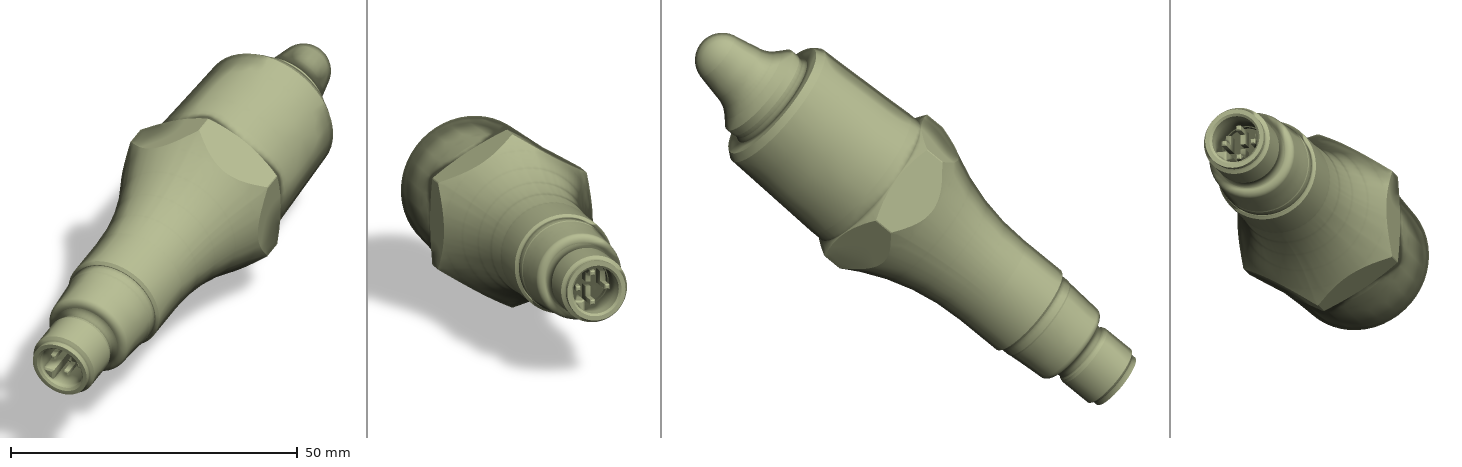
import cadquery as cq
import math

LENGTH = 96.45

NOSE_R = 10.6 / 2
THREAD_R = 12.0 / 2
RELIEF_R = 11.0 / 2
NOSE_END = 1.0
THREAD_START = 1.5
THREAD_END = 7.3
THREAD_BEVEL_END = 7.9
THREAD_BEVEL_R = 5.8
RELIEF_START = 8.2
RELIEF_END = 9.1

COUPLING_START = 9.9
COUPLING_FLARE_R = 6.2
COUPLING_CORNER = 1.2
COUPLING_SMALL_R = 7.7
COUPLING_R = 16.6 / 2
COUPLING_TAPER_END = 17.8
COUPLING_TAPER_R = 8.2
COUPLING_STEP_END = 18.1

HANDLE_R = 17.8 / 2
HANDLE_START = 19.9
HANDLE_BEVEL = 0.5
FLARE_START = 28.9
FLARE_RADIUS = 44.7

HEX_FLATS = 27.0
HEX_TURNED_R = 15.5
HEX_BEVEL_START = 55.9
HEX_END = 57.4

BODY_R = 26.7 / 2
BODY_TAPER_START = 59.6
BODY_SMALL_R = 12.5
BODY_BEVEL_START = 78.8
BODY_END = 80.1
BODY_END_R = 11.6

COLLAR_R = HANDLE_R
COLLAR_RIM_R = 9.2
COLLAR_RIM_END = 80.8
COLLAR_GROOVE_R = 8.8
COLLAR_GROOVE_END = 81.7
COLLAR_END = 83.1

TIP_BEVEL_END = 84.6
TIP_BEVEL_R = 7.4
TIP_FLARE_END = 88.25
TIP_BASE_R = 5.6
TIP_CONE_END = 92.9
TIP_CONE_R = 4.6

SOCKET_R = 4.1
SOCKET_FLOOR_R = 4.0
SOCKET_STEP = 6.75
SOCKET_BEVEL = 0.4
SOCKET_DEPTH = 7.7
PIN_RADIUS = 2.6
PIN_WIDTH = 0.9
PIN_TIP = 2.3
PIN_CHAMFER = 0.2
BLADE_LENGTH = 2.6
BLADE_TIP = 5.3
KEY_INNER = 1.8
KEY_START = 1.1
KEY_CHAMFER = 0.3


def turned_profile():
    """Half profile drawn as (radius, y), closed along the axis."""
    dome_height = LENGTH - TIP_CONE_END
    dome_radius = (TIP_CONE_R**2 + dome_height**2) / (2 * dome_height)
    dome_half_angle = math.asin(TIP_CONE_R / dome_radius) / 2
    dome_mid = (
        dome_radius * math.sin(dome_half_angle),
        LENGTH - dome_radius * (1 - math.cos(dome_half_angle)),
    )
    flare_rise = HEX_TURNED_R - HANDLE_R
    flare_length = math.sqrt(FLARE_RADIUS**2 - (FLARE_RADIUS - flare_rise) ** 2)
    corner_inset = COUPLING_CORNER * (1 - math.sqrt(0.5))
    corner_mid = (COUPLING_SMALL_R - corner_inset, COUPLING_START + corner_inset)
    return (
        cq.Workplane("XY")
        .moveTo(0, 0)
        .lineTo(NOSE_R, 0)
        .lineTo(NOSE_R, NOSE_END)
        .lineTo(THREAD_R, THREAD_START)
        .lineTo(THREAD_R, THREAD_END)
        .lineTo(THREAD_BEVEL_R, THREAD_BEVEL_END)
        .lineTo(RELIEF_R, RELIEF_START)
        .lineTo(RELIEF_R, RELIEF_END)
        .tangentArcPoint((COUPLING_FLARE_R, COUPLING_START), relative=False)
        .lineTo(COUPLING_SMALL_R - COUPLING_CORNER, COUPLING_START)
        .threePointArc(corner_mid, (COUPLING_SMALL_R, COUPLING_START + COUPLING_CORNER))
        .lineTo(COUPLING_TAPER_R, COUPLING_TAPER_END)
        .lineTo(COUPLING_R, COUPLING_STEP_END)
        .lineTo(COUPLING_R, HANDLE_START)
        .lineTo(HANDLE_R - HANDLE_BEVEL, HANDLE_START)
        .lineTo(HANDLE_R, HANDLE_START + HANDLE_BEVEL)
        .lineTo(HANDLE_R, FLARE_START)
        .tangentArcPoint((HEX_TURNED_R, FLARE_START + flare_length), relative=False)
        .lineTo(HEX_TURNED_R, HEX_BEVEL_START)
        .lineTo(BODY_R, HEX_END)
        .lineTo(BODY_R, BODY_TAPER_START)
        .lineTo(BODY_SMALL_R, BODY_BEVEL_START)
        .lineTo(BODY_END_R, BODY_END)
        .lineTo(COLLAR_RIM_R, BODY_END)
        .lineTo(COLLAR_GROOVE_R, COLLAR_RIM_END)
        .lineTo(COLLAR_GROOVE_R, COLLAR_GROOVE_END)
        .lineTo(COLLAR_R, COLLAR_GROOVE_END)
        .lineTo(COLLAR_R, COLLAR_END)
        .lineTo(TIP_BEVEL_R, TIP_BEVEL_END)
        .tangentArcPoint((TIP_BASE_R, TIP_FLARE_END), relative=False)
        .lineTo(TIP_CONE_R, TIP_CONE_END)
        .threePointArc(dome_mid, (0, LENGTH))
        .close()
    )


def block(x_range, y_range, z_range):
    """Box between the given limits."""
    limits = (x_range, y_range, z_range)
    size = [high - low for low, high in limits]
    centre = tuple((low + high) / 2 for low, high in limits)
    return cq.Workplane("XY").box(*size).translate(centre)


def hexagon_prism():
    """Prism over the full length, flats facing +X and -X, corners at the top and bottom."""
    corner_diameter = HEX_FLATS / math.cos(math.pi / 6)
    return (
        cq.Workplane("XZ")
        .polygon(6, corner_diameter)
        .extrude(-LENGTH)
        .rotate((0, 0, 0), (0, 1, 0), 90)
    )


def socket():
    """Blind bore with a bevelled mouth and a small step near its floor."""
    return (
        cq.Workplane("XY")
        .moveTo(0, 0)
        .lineTo(SOCKET_R + SOCKET_BEVEL, 0)
        .lineTo(SOCKET_R, SOCKET_BEVEL)
        .lineTo(SOCKET_R, SOCKET_STEP)
        .lineTo(SOCKET_FLOOR_R, SOCKET_STEP)
        .lineTo(SOCKET_FLOOR_R, SOCKET_DEPTH)
        .lineTo(0, SOCKET_DEPTH)
        .close()
        .revolve(360, (0, 0, 0), (0, 1, 0))
    )


def contact(x, z, blade_direction):
    """Square pin at (x, z) with a recessed blade running up (+1) or down (-1) from it."""
    half = PIN_WIDTH / 2
    pin = (
        block((x - half, x + half), (PIN_TIP, SOCKET_DEPTH), (z - half, z + half))
        .faces("<Y")
        .chamfer(PIN_CHAMFER)
    )
    blade_end_z = z + blade_direction * (BLADE_LENGTH - PIN_WIDTH)
    blade = block(
        (x - half, x + half),
        (BLADE_TIP, SOCKET_DEPTH),
        (min(z, blade_end_z) - half, max(z, blade_end_z) + half),
    )
    return pin.union(blade)


def key():
    """Coding key: a square corner standing in from the socket wall."""
    sides = (-2 * SOCKET_R, -KEY_INNER)
    corner = block(sides, (KEY_START, SOCKET_DEPTH), sides).faces("<Y").chamfer(KEY_CHAMFER)
    return corner.intersect(socket())


CONTACTS = [
    (0, PIN_RADIUS, -1),
    (0, -PIN_RADIUS, 1),
    (PIN_RADIUS, 0, 1),
    (-PIN_RADIUS, 0, 1),
]

result = turned_profile().revolve(360, (0, 0, 0), (0, 1, 0)).intersect(hexagon_prism())
result = result.cut(socket()).union(key())
for placement in CONTACTS:
    result = result.union(contact(*placement))